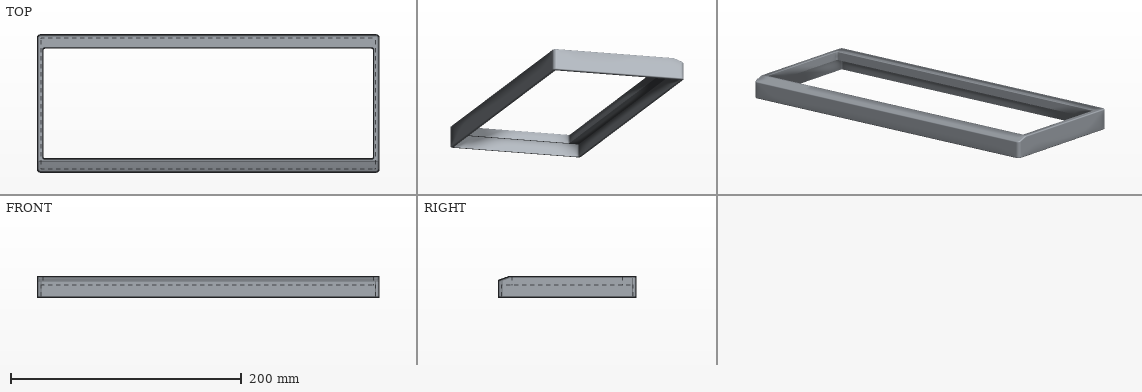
import cadquery as cq
import math

length = 296.25
width = 119.25
height = 18.5
corner_radius = 3.0
outer_edge_radius = 1.0

bevel_run = 9.6
bevel_angle = 20.0
bevel_drop = bevel_run * math.tan(math.radians(bevel_angle))

end_rail = 5.0
long_rail = 11.75
window_length = length - 2 * end_rail
window_width = width - 2 * long_rail
window_corner_radius = 1.5
window_edge_radius = 0.5

rim_depth = 7.5
end_wall = 3.0
long_wall = 2.75
cavity_length = length - 2 * end_wall
cavity_width = width - 2 * long_wall
cavity_corner_radius = 1.25
cavity_depth = height - rim_depth


def outer_body():
    """Solid block with a sloped front top, rounded corners and rounded edges."""
    front = -width / 2
    back = width / 2
    side_profile = [
        (front, 0),
        (back, 0),
        (back, height),
        (front + bevel_run, height),
        (front, height - bevel_drop),
    ]
    block = cq.Workplane("YZ").polyline(side_profile).close().extrude(length / 2, both=True)
    block = block.edges("|Z").fillet(corner_radius)
    return block.edges("not |Z").fillet(outer_edge_radius)


def window():
    """Rectangular opening with rounded corners, cut through the full height."""
    opening = cq.Workplane("XY").rect(window_length, window_width).extrude(height)
    return opening.edges("|Z").fillet(window_corner_radius)


def cavity():
    """Hollow open at the bottom, leaving a thin wall under the rim."""
    space = cq.Workplane("XY").rect(cavity_length, cavity_width).extrude(cavity_depth)
    return space.edges("|Z").fillet(cavity_corner_radius)


def round_window_edge(frame):
    """Round the edge where the window meets the flat top."""
    top_face = frame.faces(">Z").val()
    window_outline = top_face.innerWires()[0]
    return frame.newObject(window_outline.Edges()).fillet(window_edge_radius)


result = round_window_edge(outer_body().cut(window()).cut(cavity()))